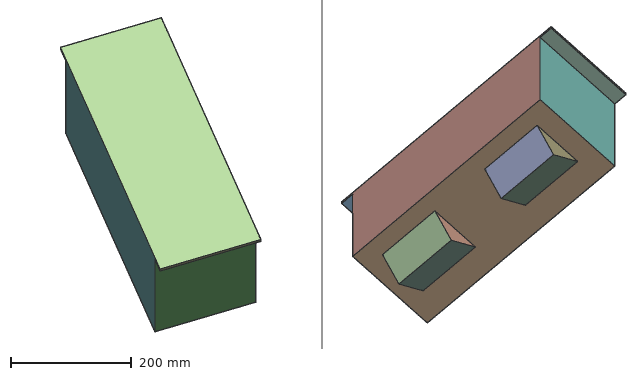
import cadquery as cq

plate_length = 483.0
plate_thickness = 6.0

box_length = 432.5
box_width = 178.0
box_height = 204.0

ridge_length = 121.0
ridge_spacing = 236.0
ridge_height = 48.5
ridge_back_y = 57.0
ridge_tip_y = 18.0
ridge_front_y = -39.5


def top_plate():
    """Thin plate overhanging both ends of the box, flush with its front and back."""
    return (
        cq.Workplane("XY")
        .box(plate_length, box_width, plate_thickness, centered=(True, True, False))
        .translate((0, 0, box_height))
    )


def ridge(center_x):
    """Triangular prism along X, pointing down from the underside of the box."""
    return (
        cq.Workplane("YZ", origin=(center_x, 0, 0))
        .polyline([(ridge_front_y, 0), (ridge_tip_y, -ridge_height), (ridge_back_y, 0)])
        .close()
        .extrude(ridge_length / 2, both=True)
    )


result = cq.Workplane("XY").box(box_length, box_width, box_height, centered=(True, True, False))
result = result.union(top_plate())
for side in (-1, 1):
    result = result.union(ridge(side * ridge_spacing / 2))